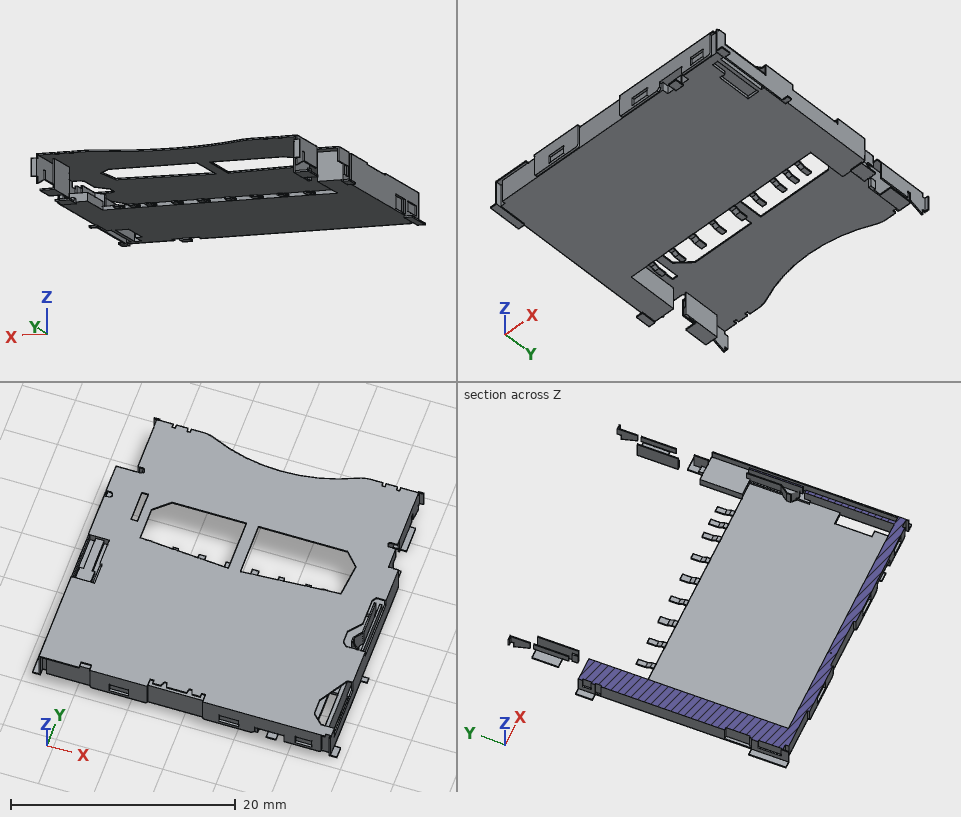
import cadquery as cq


height = 2.95
sheet = 0.15
lid_under = height - sheet
wall_bottom = 0.15

shell_width = 27.4
shell_depth = 27.4
neck_left = 1.85
neck_right = 26.45
left_shoulder = 21.5
right_shoulder = 19.0
foot_reach = 0.6

front_gap = 0.23
housing_right = shell_width - sheet
floor_top = 0.5
floor_rear = 14.93
front_bar_rear = 1.05
left_rail_width = 2.3
left_rail_rear = left_shoulder - 1.15
arm_left = 24.6
arm_rear = 19.05
arm_top = 0.95
rod_left = 26.45
rod_right = 26.83
rod_top = 2.55
spring_ledge_top = 0.72

gap_top = 1.63
window_top = 1.63
relief_front = 18.15
relief_rear = 18.73
neck_relief_rear = 22.08
left_window_bottom = 0.31
left_window_front = 3.6
left_window_rear = 6.18
latch_window_bottom = 0.7
right_step_rear = 21.05
neck_wall_bottom = 0.97
neck_slot_front = 25.48
neck_slot_rear = 25.83
neck_slot_top = 1.77

corner_opening_front = front_bar_rear
corner_opening_rear = 6.25
spring_opening_front = 9.72
spring_opening_rear = 15.53
opening_left = 25.2
corner_wall_top = 1.57
spring_wall_top = 2.3

left_foot_rear = 3.6
right_foot_rear = 8.92

flap_bottom = 0.23

terminal_width = 0.51
wide_terminal_width = 0.63
terminal_lefts = (4.52, 7.0, 11.98, 16.95, 19.48, 21.02, 22.5)
wide_terminal_lefts = (9.45, 14.45)
terminal_rear = 16.67
terminal_bend = 15.75
notch_rear = 0.85
notch_top = 1.15


def box(x0, x1, y0, y1, z0, z1):
    """Axis-aligned block between the given limits."""
    return cq.Workplane("XY").box(x1 - x0, y1 - y0, z1 - z0, centered=False).translate((x0, y0, z0))


def prism(points, z0, z1):
    """Upright prism with a polygonal plan."""
    return cq.Workplane("XY").polyline(points).close().extrude(z1 - z0).translate((0, 0, z0))


def lid_cut(points):
    return prism(points, lid_under, height)


def lid_slot(x0, x1, y0, y1):
    return box(x0, x1, y0, y1, lid_under, height)


def side_notch(edge, tip, y0, y1):
    """Slot in the lid running in from a side edge, with a fully rounded inner end."""
    radius = (y1 - y0) / 2
    inward = 1 if tip > edge else -1
    return (
        cq.Workplane("XY", origin=(0, 0, lid_under))
        .moveTo(edge, y0)
        .lineTo(tip - inward * radius, y0)
        .threePointArc((tip, y0 + radius), (tip - inward * radius, y1))
        .lineTo(edge, y1)
        .close()
        .extrude(sheet)
    )


def lid_blank():
    """Lid plan with a finger scallop in its rear edge and softly rounded scallop corners."""
    scallop_left, scallop_right = 6.85, 21.34
    scallop_bottom = 25.68
    corner_radius = 2.85
    plate = (
        cq.Workplane("XY", origin=(0, 0, lid_under))
        .moveTo(0, 0)
        .lineTo(shell_width, 0)
        .lineTo(shell_width, right_shoulder)
        .lineTo(neck_right, right_shoulder)
        .lineTo(neck_right, shell_depth)
        .lineTo(scallop_right, shell_depth)
        .threePointArc(
            ((scallop_left + scallop_right) / 2, scallop_bottom), (scallop_left, shell_depth)
        )
        .lineTo(neck_left, shell_depth)
        .lineTo(neck_left, left_shoulder)
        .lineTo(0, left_shoulder)
        .close()
        .extrude(sheet)
    )
    for corner in (scallop_left, scallop_right):
        near_corner = cq.selectors.BoxSelector(
            (corner - 0.3, shell_depth - 0.3, 0), (corner + 0.3, shell_depth + 0.3, height + 0.3)
        )
        plate = plate.edges("|Z").edges(near_corner).fillet(corner_radius)
    plate = plate.cut(side_notch(neck_left, 2.57, left_shoulder, neck_relief_rear))
    plate = plate.cut(side_notch(neck_right, 25.63, right_step_rear, 21.55))
    return plate.cut(side_notch(0, 0.7, relief_front, relief_rear))


def lid_windows():
    """Two windows over the terminals and a narrow slot to their left."""
    rear, middle_front = 19.42, 14.33
    left = lid_cut([
        (4.5, floor_rear), (12.95, middle_front), (12.95, rear), (5.98, rear), (4.5, 18.1),
    ])
    right = lid_cut([
        (23.35, floor_rear), (23.68, 18.1), (22.48, rear), (14.1, rear), (14.1, middle_front),
    ])
    return left.union(right).union(lid_slot(3.1, 3.7, 16.53, 19.55))


def rear_edge_slits():
    depth = 0.35
    slits = cq.Workplane("XY")
    for left in (3.4, 4.8, 23.1, 24.48):
        slits = slits.union(lid_slot(left, left + 0.3, shell_depth - depth, shell_depth))
    return slits


def front_edge_cuts():
    """Flap bend reliefs along the front edge and the scalloped gap between the flaps."""
    left, right = 10.18, 15.35
    gap_depth = 0.5
    cuts = lid_slot(3.78, 4.75, 0, 0.6).union(lid_slot(left, right, 0, gap_depth))
    cuts = cuts.union(lid_slot(26.88, shell_width, 0, front_gap))
    end_relief = lid_slot(left, left + 0.35, 0, 0.83)
    inner_relief = lid_cut([(11.3, gap_depth), (11.8, gap_depth), (11.73, 0.95), (11.47, 0.95)])
    gap_middle = ((left + right) / 2, 0, 0)
    for relief in (end_relief, inner_relief):
        cuts = cuts.union(relief).union(relief.mirror("YZ", gap_middle))
    return cuts


def right_openings():
    """Openings in the lid beside the right wall, which is lower along them."""
    wall_inside = shell_width - sheet
    corner = lid_cut([
        (26.88, corner_opening_rear), (opening_left, 3.52), (opening_left, 2.03),
        (26.2, corner_opening_front), (wall_inside, corner_opening_front),
        (wall_inside, corner_opening_rear),
    ])
    spring = lid_cut([
        (26.48, spring_opening_rear), (26.23, 15.13), (26.23, 12.53), (opening_left, 11.3),
        (opening_left, 10.12), (25.63, spring_opening_front), (wall_inside, spring_opening_front),
        (wall_inside, spring_opening_rear),
    ])
    cuts = corner.union(spring)
    for front, rear, wall_top in (
        (corner_opening_front, corner_opening_rear, corner_wall_top),
        (spring_opening_front, spring_opening_rear, spring_wall_top),
    ):
        cuts = cuts.union(box(wall_inside, shell_width, front, rear, wall_top, height))
    return cuts


def main_side_walls():
    left = box(0, sheet, 0, left_shoulder, wall_bottom, lid_under)
    left = left.cut(box(0, sheet, left_rail_rear, left_shoulder, 0, gap_top))
    left = left.cut(box(0, sheet, relief_front, relief_rear, left_window_bottom, lid_under))
    for front, rear, bottom in (
        (0.72, 2.97, latch_window_bottom),
        (left_window_front, left_window_rear, left_window_bottom),
        (19.1, 19.95, latch_window_bottom),
    ):
        left = left.cut(box(0, sheet, front, rear, bottom, window_top))
    right = box(shell_width - sheet, shell_width, 0, right_shoulder, wall_bottom, lid_under)
    step = box(neck_right - sheet, neck_right, right_shoulder, right_step_rear, wall_bottom, lid_under)
    step = step.cut(box(neck_right - sheet, neck_right, left_rail_rear, left_shoulder, 0, gap_top))
    return left.union(right).union(step)


def neck_side(outer, outward):
    """Wall, rear curl and solder bracket on one side of the neck; outward is -1 or +1 along X."""
    curl_rear = 27.8
    curl_bottom, curl_top = 0.83, 2.5
    curl_reach = 0.37
    bracket_front, foot_front = left_shoulder, 22.9
    bracket_inset, foot_out = 1.03, 0.37
    bracket_step_top = 1.05
    rear_lobe_high, rear_lobe_low = 0.85, 0.23
    profile = [
        (neck_relief_rear, lid_under), (neck_relief_rear, neck_wall_bottom),
        (neck_slot_front, neck_wall_bottom), (neck_slot_front, neck_slot_top),
        (neck_slot_rear, neck_slot_top), (neck_slot_rear, rear_lobe_high),
        (shell_depth, rear_lobe_low), (shell_depth, lid_under),
    ]

    def span(offset_a, offset_b, *limits):
        ends = sorted((outer + outward * offset_a, outer + outward * offset_b))
        return box(*ends, *limits)

    wall = cq.Workplane("YZ").polyline(profile).close().extrude(-outward * sheet)
    side = wall.translate((outer, 0, 0))
    side = side.union(span(-sheet, 0, shell_depth, curl_rear, curl_bottom, curl_top))
    side = side.union(span(-sheet, curl_reach, curl_rear - sheet, curl_rear, curl_bottom, curl_top))
    side = side.union(
        span(-bracket_inset, -bracket_inset + sheet, bracket_front, neck_slot_front, 0, lid_under)
    )
    side = side.union(
        span(-bracket_inset, -bracket_inset + 2 * sheet, bracket_front, neck_relief_rear, 0, bracket_step_top)
    )
    return side.union(span(-bracket_inset, foot_out, foot_front, neck_slot_front, 0, sheet))


def front_flap(left, right, windows):
    """Flap folded down from the lid, with rounded lower corners and latch windows."""
    corner_radius = 0.25
    window_bottom, front_window_top = 0.57, 1.52
    flap = box(left, right, 0, front_gap, flap_bottom, lid_under)
    flap = flap.edges("|Y and <Z").fillet(corner_radius)
    for x0, x1 in windows:
        flap = flap.cut(box(x0, x1, 0, front_gap, window_bottom, front_window_top))
    return flap


def side_feet():
    right_edge = shell_width + foot_reach
    right_start = shell_width - sheet
    feet = box(-foot_reach, sheet, 0, left_foot_rear, 0, sheet)
    feet = feet.union(box(-foot_reach, sheet, relief_rear, left_rail_rear, 0, sheet))
    feet = feet.union(box(right_start, right_edge, 0, front_bar_rear, 0, sheet))
    feet = feet.union(box(right_start, right_edge, 8.45, right_foot_rear, 0, sheet))
    feet = feet.union(box(0, sheet, 0, left_foot_rear, 0, wall_bottom + sheet))
    return feet.union(box(right_start, shell_width, 0, right_foot_rear, 0, wall_bottom + sheet))


def housing():
    body = box(sheet, housing_right, front_gap, floor_rear, wall_bottom, floor_top)
    body = body.cut(box(opening_left, housing_right, front_bar_rear, corner_opening_rear, 0, height))
    body = body.union(box(sheet, housing_right, front_gap, front_bar_rear, wall_bottom, lid_under))
    body = body.union(
        box(sheet, sheet + left_rail_width, front_gap, left_rail_rear, wall_bottom, lid_under)
    )
    body = body.cut(box(sheet, 0.63, front_gap, 0.57, 0, lid_under))
    body = body.cut(box(sheet, 2 * sheet, 3.85, left_window_rear, left_window_bottom, window_top))
    body = body.union(box(arm_left, housing_right, floor_rear, arm_rear, wall_bottom, arm_top))
    body = body.union(box(rod_left, rod_right, front_bar_rear, spring_opening_front, wall_bottom, rod_top))
    body = body.union(
        box(26.23, housing_right, spring_opening_front - 0.57, floor_rear, wall_bottom, spring_ledge_top)
    )
    return body.union(box(opening_left, 25.83, front_bar_rear, 2.65, wall_bottom, floor_top))


def lever_pocket():
    """Pocket in the left rail, open through the lid, around a raised T-shaped lever."""
    front, rear = 9.0, 13.79
    pocket_floor = 2.15
    lever_front_top, lever_rear_top = 2.52, 2.63
    pocket = box(sheet, 1.97, front, rear, pocket_floor, height)
    pocket = pocket.union(box(0, sheet, front, rear, lid_under, height))
    pocket = pocket.union(box(1.97, 2.2, front, 11.13, pocket_floor + 0.43, height))
    stem = box(0.7, 1.5, 10.45, rear, pocket_floor, lid_under)
    pad = box(0.31, 1.75, 9.27, 10.45, pocket_floor, lid_under).edges("|Z and <Y").fillet(0.17)
    slope = [(front, 0), (front, lever_front_top), (rear, lever_rear_top), (rear, 0)]
    below_slope = cq.Workplane("YZ").polyline(slope).close().extrude(left_rail_width)
    lever = stem.union(pad).intersect(below_slope)
    return pocket.cut(lever)


def latch_springs():
    """Two upright strips in the right-hand opening, one ending in a hooked tip."""
    strip_top = 2.43
    thick = 0.15
    left, hook_left = 26.37, 25.77
    path = [(left, 15.3), (left, 11.95), (hook_left, 11.15), (hook_left, 10.75), (left, 10.18)]
    outline = path + [(x + thick, y) for x, y in reversed(path)]
    hook = prism(outline, wall_bottom, strip_top)
    return hook.union(box(26.88, 27.08, 10.07, 15.3, wall_bottom, strip_top))


def terminal(left, width):
    """Solder foot rising in a slope to the rear edge of the floor."""
    ramp_end, ramp_top = 15.3, 0.35
    profile = [
        (terminal_rear, 0), (terminal_rear, sheet), (terminal_bend, sheet), (ramp_end, ramp_top),
        (floor_rear - 0.3, ramp_top), (floor_rear - 0.3, ramp_top - sheet),
        (ramp_end, ramp_top - sheet), (terminal_bend, 0),
    ]
    return cq.Workplane("YZ", origin=(left, 0, 0)).polyline(profile).close().extrude(width)


def front_terminal_notch():
    """Notch through the flap and the housing, wider in the flap on its left side."""
    left, right = 20.48, 23.02
    flap_left = 20.25
    flap_profile = [
        (flap_left - 0.3, 0), (flap_left - 0.3, flap_bottom), (flap_left, 0.51), (flap_left, notch_top),
        (right, notch_top), (right, 0),
    ]
    flap_notch = cq.Workplane("XZ").polyline(flap_profile).close().extrude(-front_gap)
    return flap_notch.union(box(left, right, 0, notch_rear, 0, notch_top))


def front_terminal():
    """Upright terminal and foot inside the notch under the front flap."""
    left, right = 21.34, 22.25
    foot = box(left, right, 0.05, notch_rear + sheet, 0, sheet)
    return foot.union(box(left, right, notch_rear - sheet, notch_rear + sheet, 0, notch_top))


def switch_terminal():
    """Foot behind the right arm, running out under the neck wall."""
    left, right, rear = 25.68, 27.05, 20.7
    foot = box(left, right, arm_rear - sheet, rear, 0, sheet)
    return foot.union(box(left, right, arm_rear - sheet, arm_rear + 0.57, 0, 0.43))


result = lid_blank()
for cut in (lid_windows(), rear_edge_slits(), front_edge_cuts()):
    result = result.cut(cut)
result = result.union(main_side_walls())
result = result.union(neck_side(neck_left, -1)).union(neck_side(neck_right, 1))
result = result.union(housing())
for flap_left, flap_right, flap_windows in (
    (4.8, 10.18, [(6.6, 8.4)]),
    (15.35, 26.5, [(16.9, 18.75), (24.08, 25.63)]),
):
    result = result.union(front_flap(flap_left, flap_right, flap_windows))
result = result.cut(right_openings()).cut(lever_pocket()).cut(front_terminal_notch())
result = result.union(side_feet()).union(latch_springs())
for left in terminal_lefts:
    result = result.union(terminal(left, terminal_width))
for left in wide_terminal_lefts:
    result = result.union(terminal(left, wide_terminal_width))
result = result.union(front_terminal()).union(switch_terminal())